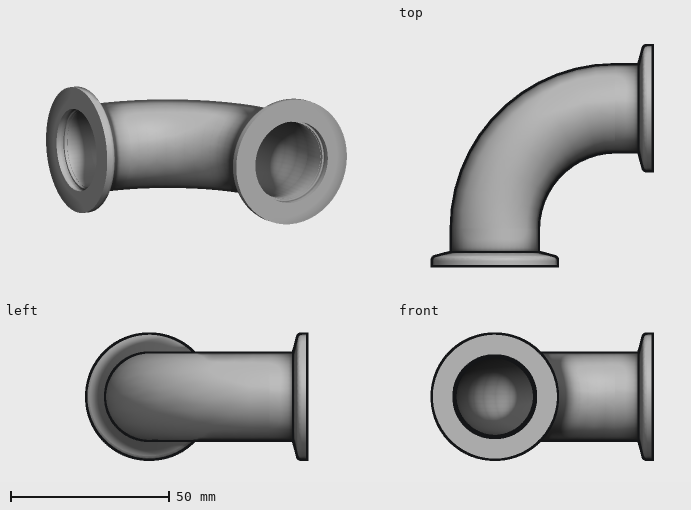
import cadquery as cq
import math


tube_outer_radius = 14.0
tube_inner_radius = 12.4
bend_radius = 38.1
leg_length = 11.9

flange_radius = 20.0
rim_thickness = 3.0
taper_angle = math.radians(15)
rim_fillet = 1.5
flange_bore_radius = 12.5
recess_radius = 13.1
recess_depth = 2.5
socket_depth = 3.5
flange_height = rim_thickness + (flange_radius - tube_outer_radius) * math.tan(taper_angle)

bend_end = (bend_radius, leg_length + bend_radius)
outlet_center = (bend_radius + leg_length, leg_length + bend_radius, 0)


def make_tube_path():
    """Centreline: straight leg, quarter bend, straight leg."""
    middle = bend_radius * math.sqrt(0.5)
    bend_middle = (bend_radius - middle, leg_length + middle)
    return (
        cq.Workplane("XY")
        .moveTo(0, socket_depth)
        .lineTo(0, leg_length)
        .threePointArc(bend_middle, bend_end)
        .lineTo(outlet_center[0] - socket_depth, outlet_center[1])
    )


def make_tube():
    """Hollow tube whose ends stop on the socket floors of the flanges."""
    return (
        cq.Workplane("XZ", origin=(0, socket_depth, 0))
        .circle(tube_outer_radius)
        .circle(tube_inner_radius)
        .sweep(make_tube_path())
    )


def make_flange():
    """Flange on the Y axis: face at Y = 0, tapered back toward +Y."""
    blank = (
        cq.Workplane("XY")
        .polyline([
            (0, 0),
            (flange_radius, 0),
            (flange_radius, rim_thickness),
            (tube_outer_radius, flange_height),
            (0, flange_height),
        ])
        .close()
        .revolve(360, (0, 0, 0), (0, 1, 0))
    )
    widest_edges = cq.selectors.RadiusNthSelector(-1)
    blank = blank.edges(widest_edges).edges(">Y").fillet(rim_fillet)

    face = cq.Workplane("XZ")
    bore = face.circle(flange_bore_radius).extrude(-flange_height)
    recess = face.circle(recess_radius).extrude(-recess_depth)
    socket = (
        cq.Workplane("XZ", origin=(0, socket_depth, 0))
        .circle(tube_outer_radius)
        .extrude(socket_depth - flange_height)
    )
    return blank.cut(bore).cut(recess).cut(socket)


tube = make_tube()

flange_places = [((0, 0, 0), 0), (outlet_center, 90)]
flanges = [
    make_flange().rotate((0, 0, 0), (0, 0, 1), turn).translate(center)
    for center, turn in flange_places
]

result = cq.Compound.makeCompound([tube.val(), *[flange.val() for flange in flanges]])